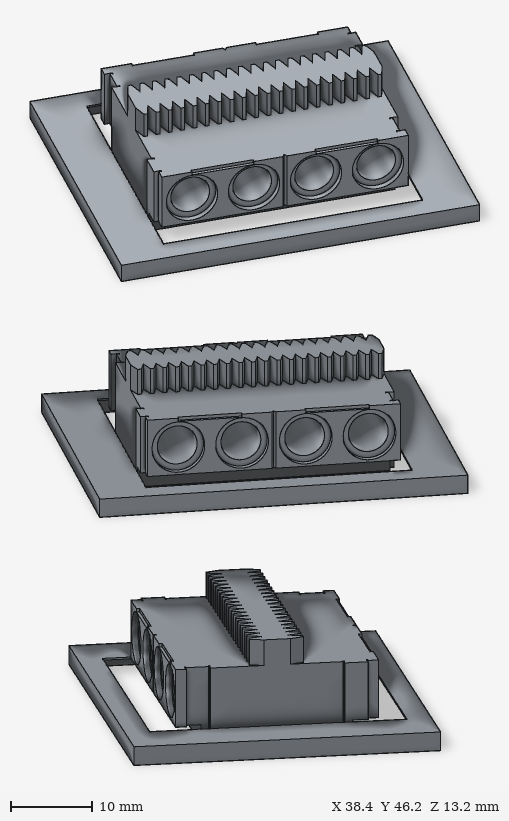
import cadquery as cq
FRAME_WIDTH = 38.4
FRAME_LENGTH = 46.2
FRAME_THICKNESS = 2.4
OPENING_WIDTH = 32.2
OPENING_LENGTH = 33.4
LIP_THICKNESS = 0.25
WALL_THICKNESS = 1.55

BLOCK_WIDTH = 25.4
BLOCK_LENGTH = 31.8
BLOCK_TOP = 9.95
FOOT_WIDTH = 18.75
OVERHANG_BOTTOM = 2.55

OVERALL_HEIGHT = 13.2
RAIL_WIDTH = 6.75
RAIL_ROOT_WIDTH = 3.33
TOOTH_COUNT = 20
TOOTH_TIP = 0.45
TOOTH_PITCH = BLOCK_LENGTH / TOOTH_COUNT

HOLE_COUNT = 4
HOLE_PITCH = 8.0
HOLE_DIAMETER = 5.0
COUNTERBORE_DIAMETER = 6.6
COUNTERBORE_DEPTH = 0.8
HOLE_HEIGHT = 6.15

STEP_DEPTH = 0.4
STEP_LENGTH = HOLE_PITCH

GROOVE_WIDTH = 0.55
GROOVE_DEPTH = 0.4

COUPLING_OFFSET = 9.85
TAB_LENGTH = 0.6
TAB_ROOT_WIDTH = 2.8
TAB_TIP_WIDTH = 2.95
RECESS_DEPTH = 0.7
RECESS_MOUTH_WIDTH = 3.0
RECESS_FLOOR_WIDTH = 3.15
SLIT_WIDTH = 0.15
SLIT_DEPTH = 0.35


def box_between(x_range, y_range, z_range):
    """Box spanning the given (low, high) range on each axis."""
    sizes = [high - low for low, high in (x_range, y_range, z_range)]
    corner = (x_range[0], y_range[0], z_range[0])
    return cq.Workplane("XY").box(*sizes, centered=False).translate(corner)


def centred_range(centre, size):
    return (centre - size / 2, centre + size / 2)


def make_frame():
    """Rectangular frame: its opening is narrowed at the top by the lip."""
    body = box_between(
        centred_range(0, FRAME_WIDTH), centred_range(0, FRAME_LENGTH), (0, FRAME_THICKNESS)
    )
    opening = box_between(
        centred_range(0, OPENING_WIDTH), centred_range(0, OPENING_LENGTH), (0, FRAME_THICKNESS)
    )
    cavity = box_between(
        centred_range(0, FRAME_WIDTH - 2 * WALL_THICKNESS),
        centred_range(0, FRAME_LENGTH - 2 * WALL_THICKNESS),
        (0, FRAME_THICKNESS - LIP_THICKNESS),
    )
    return body.cut(cavity).cut(opening)


def dovetail(centre_x, start_y, start_width, end_y, end_width):
    """Full-height prism with a trapezoid outline between two Y positions."""
    outline = [
        (centre_x - start_width / 2, start_y),
        (centre_x + start_width / 2, start_y),
        (centre_x + end_width / 2, end_y),
        (centre_x - end_width / 2, end_y),
    ]
    return cq.Workplane("XY").polyline(outline).close().extrude(BLOCK_TOP)


def make_slit(centre_x, start_y):
    """Full-height relief slit running from start_y towards +Y."""
    return box_between(
        centred_range(centre_x, SLIT_WIDTH), (start_y, start_y + SLIT_DEPTH), (0, BLOCK_TOP)
    )


def make_coupling_end():
    """Tab, recess and slits of the -Y end, as a solid to add and a solid to cut."""
    end_y = -BLOCK_LENGTH / 2
    tip_y = end_y - TAB_LENGTH
    floor_y = end_y + RECESS_DEPTH
    tab = dovetail(COUPLING_OFFSET, end_y, TAB_ROOT_WIDTH, tip_y, TAB_TIP_WIDTH)
    cuts = dovetail(-COUPLING_OFFSET, end_y, RECESS_MOUTH_WIDTH, floor_y, RECESS_FLOOR_WIDTH)
    for side in (-1, 1):
        tab_slit_x = COUPLING_OFFSET + side * (TAB_ROOT_WIDTH + SLIT_WIDTH) / 2
        recess_slit_x = -COUPLING_OFFSET + side * (RECESS_FLOOR_WIDTH - SLIT_WIDTH) / 2
        cuts = cuts.union(make_slit(tab_slit_x, end_y)).union(make_slit(recess_slit_x, floor_y))
    return tab, cuts


def make_rail():
    """Rail whose flat-tipped teeth on both sides meet in sharp valleys."""
    root = RAIL_ROOT_WIDTH / 2
    tip = RAIL_WIDTH / 2
    start = -BLOCK_LENGTH / 2
    profile = [(root, start)]
    for i in range(TOOTH_COUNT):
        middle = start + (i + 0.5) * TOOTH_PITCH
        profile.append((tip, middle - TOOTH_TIP / 2))
        profile.append((tip, middle + TOOTH_TIP / 2))
        profile.append((root, start + (i + 1) * TOOTH_PITCH))
    mirrored = [(-x, y) for x, y in reversed(profile)]
    return (
        cq.Workplane("XY", origin=(0, 0, BLOCK_TOP))
        .polyline(profile + mirrored)
        .close()
        .extrude(OVERALL_HEIGHT - BLOCK_TOP)
    )


def make_cross_holes():
    """Cutters for the holes along X, counterbored from both sides."""
    centres = [((i - (HOLE_COUNT - 1) / 2) * HOLE_PITCH, HOLE_HEIGHT) for i in range(HOLE_COUNT)]
    side_x = BLOCK_WIDTH / 2
    start = cq.Workplane("YZ", origin=(-side_x, 0, 0)).pushPoints(centres)
    bores = start.circle(HOLE_DIAMETER / 2).extrude(BLOCK_WIDTH)
    near = start.circle(COUNTERBORE_DIAMETER / 2).extrude(COUNTERBORE_DEPTH)
    far = near.translate((BLOCK_WIDTH - COUNTERBORE_DEPTH, 0, 0))
    return bores.union(near).union(far)


def make_side_cuts(side):
    """Overhang clearance, V-groove and finger steps of the side at +X (1) or -X (-1)."""
    side_x = side * BLOCK_WIDTH / 2
    full_length = BLOCK_LENGTH + 2 * TAB_LENGTH
    overhang = (BLOCK_WIDTH - FOOT_WIDTH) / 2
    cuts = box_between(
        centred_range(side_x - side * overhang / 2, overhang),
        centred_range(0, full_length),
        (0, OVERHANG_BOTTOM),
    )
    groove = (
        cq.Workplane("XY")
        .polyline(
            [
                (side_x, -GROOVE_WIDTH / 2),
                (side_x, GROOVE_WIDTH / 2),
                (side_x - side * GROOVE_DEPTH, 0),
            ]
        )
        .close()
        .extrude(BLOCK_TOP)
    )
    cuts = cuts.union(groove)
    for pair_y in (-HOLE_PITCH, HOLE_PITCH):
        step = box_between(
            centred_range(side_x - side * STEP_DEPTH / 2, STEP_DEPTH),
            centred_range(pair_y, STEP_LENGTH),
            (BLOCK_TOP - STEP_DEPTH, BLOCK_TOP),
        )
        cuts = cuts.union(step)
    return cuts


def make_block():
    block = box_between(
        centred_range(0, BLOCK_WIDTH), centred_range(0, BLOCK_LENGTH), (0, BLOCK_TOP)
    )
    tab, end_cuts = make_coupling_end()
    for turn in (0, 180):
        block = block.union(tab.rotate((0, 0, 0), (0, 0, 1), turn))
        block = block.cut(end_cuts.rotate((0, 0, 0), (0, 0, 1), turn))
    for side in (-1, 1):
        block = block.cut(make_side_cuts(side))
    block = block.cut(make_cross_holes())
    return block.union(make_rail())


frame = make_frame()
block = make_block()
result = cq.Compound.makeCompound([*frame.solids().vals(), *block.solids().vals()])